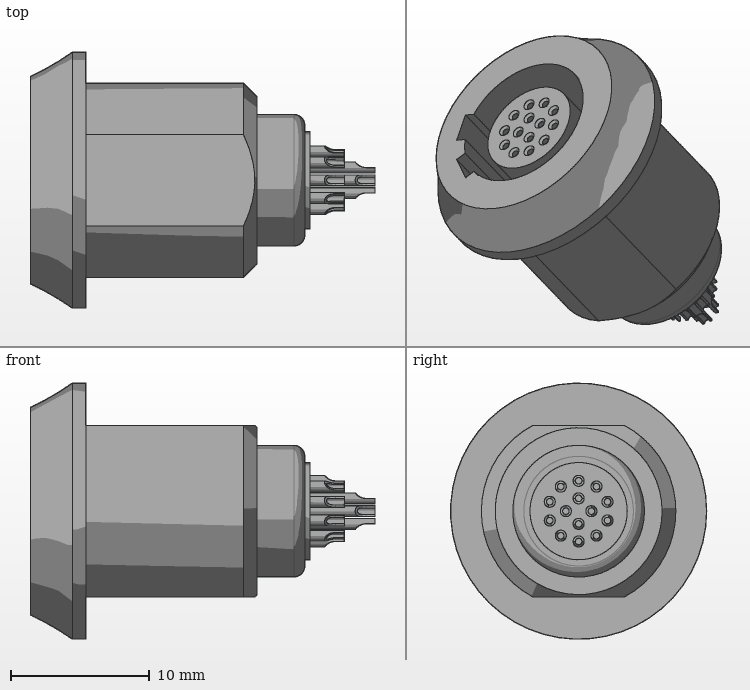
import cadquery as cq
import math


flange_face_radius = 7.5
flange_diameter = 18.5
flange_radius = flange_diameter / 2
flare_length = 3.05
flare_arc_radius = 19.92
flange_end = 4.0

body_radius = 7.02
body_end = 16.38
body_chamfer = 1.0
across_flats = 12.4

sleeve_radius = 4.75
sleeve_end = 19.82
sleeve_fillet = 0.8

cavity_radius = 5.05
cavity_depth = 8.96
keyway_width = 2.2
keyway_reach = 5.7
keyway_angles = (-20, 20)

insert_radius = 3.5
insert_front = 0.7
insert_end = 20.2

contact_rings = (
    (10, 2.2, 22.68),
    (4, 0.92, 24.9),
)
first_contact_angle = 90
pin_radius = 0.4

hole_mouth_radius = 0.42
hole_radius = 0.25
hole_countersink_depth = hole_mouth_radius - hole_radius
hole_depth = 3.98

cup_bore_radius = 0.237
cup_bore_depth = 1.5
cup_open_length = 0.65
cup_arc_radius = 1.0


def cylinder(start, end, radius):
    """Cylinder along the X axis."""
    return cq.Workplane("YZ", origin=(start, 0, 0)).circle(radius).extrude(end - start)


def arc_middle(start, end, radius):
    """Middle point of an arc that bows toward the right when going from start to end."""
    run = end[0] - start[0]
    rise = end[1] - start[1]
    chord = math.hypot(run, rise)
    sag = radius - math.sqrt(radius**2 - (chord / 2) ** 2)
    middle_x = (start[0] + end[0]) / 2 + sag * rise / chord
    middle_y = (start[1] + end[1]) / 2 - sag * run / chord
    return (middle_x, middle_y)


def make_flange():
    flare_start = (0, flange_face_radius)
    flare_end = (flare_length, flange_radius)
    return (
        cq.Workplane("XY")
        .lineTo(*flare_start)
        .threePointArc(arc_middle(flare_start, flare_end, flare_arc_radius), flare_end)
        .lineTo(flange_end, flange_radius)
        .lineTo(flange_end, 0)
        .close()
        .revolve(360, (0, 0, 0), (1, 0, 0))
    )


def make_body():
    length = body_end - flange_end
    barrel = cylinder(flange_end, body_end, body_radius).faces(">X").chamfer(body_chamfer)
    flats = cq.Workplane("XY", origin=(flange_end + length / 2, 0, 0)).box(
        length, 2 * body_radius, across_flats
    )
    return barrel.intersect(flats)


def make_sleeve():
    return cylinder(body_end, sleeve_end, sleeve_radius).faces(">X").edges().fillet(sleeve_fillet)


def make_cavity():
    cavity = cylinder(0, cavity_depth, cavity_radius)
    keyway = cq.Workplane("XY").box(
        cavity_depth, keyway_reach, keyway_width, centered=(False, False, True)
    )
    for angle in keyway_angles:
        cavity = cavity.union(keyway.rotate((0, 0, 0), (1, 0, 0), angle))
    return cavity


def make_pin(end):
    """Pin on the X axis whose solder cup opens toward +Y."""
    pin = cylinder((sleeve_end + insert_end) / 2, end, pin_radius)
    bore = cylinder(end - cup_bore_depth, end, cup_bore_radius)
    arc_end_x = end - cup_open_length
    arc_run = math.sqrt(cup_arc_radius**2 - (cup_arc_radius - pin_radius) ** 2)
    arc_start = (arc_end_x - arc_run, pin_radius)
    arc_end = (arc_end_x, 0)
    opening = (
        cq.Workplane("XY")
        .moveTo(*arc_start)
        .threePointArc(arc_middle(arc_start, arc_end, cup_arc_radius), arc_end)
        .lineTo(end, 0)
        .lineTo(end, pin_radius)
        .close()
        .extrude(pin_radius, both=True)
    )
    return pin.cut(bore).cut(opening)


def make_socket_hole():
    """Countersunk blind hole on the X axis."""
    return (
        cq.Workplane("XY")
        .moveTo(insert_front, 0)
        .lineTo(insert_front, hole_mouth_radius)
        .lineTo(insert_front + hole_countersink_depth, hole_radius)
        .lineTo(insert_front + hole_depth, hole_radius)
        .lineTo(insert_front + hole_depth, 0)
        .close()
        .revolve(360, (0, 0, 0), (1, 0, 0))
    )


def place_on_ring(tool, count, pitch_radius):
    """Copies of a tool spread evenly on a pitch circle, each turned with its +Y outward."""
    copies = []
    for index in range(count):
        angle = first_contact_angle + index * 360 / count
        copies.append(tool.translate((0, pitch_radius, 0)).rotate((0, 0, 0), (1, 0, 0), angle))
    return copies


shell = make_flange().union(make_body()).union(make_sleeve()).cut(make_cavity())
result = shell.union(cylinder(insert_front, insert_end, insert_radius))

for contact_count, pitch_radius, pin_end in contact_rings:
    for hole in place_on_ring(make_socket_hole(), contact_count, pitch_radius):
        result = result.cut(hole)
    for pin in place_on_ring(make_pin(pin_end), contact_count, pitch_radius):
        result = result.union(pin)